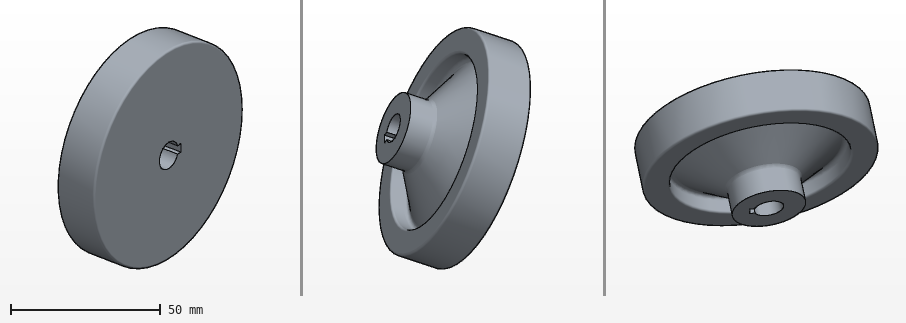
import cadquery as cq
import math

rim_diameter = 80.0
total_length = 31.0
rim_width = 15.8
rim_face_x = total_length - rim_width
rim_edge_radius = 0.8

hub_diameter = 25.0
bore_diameter = 10.0
keyway_width = 3.2
keyway_reach = 6.5

dish_diameter = 61.6
dish_mouth_radius = 0.8
dish_root_radius = 1.3
hub_root_radius = 1.4
cone_diameter_at_rim_face = 41.4
cone_half_angle = 54.5


def cone_x(radius):
    """Axial position of the conical web surface at a given radius."""
    radial_rise = radius - cone_diameter_at_rim_face / 2
    return rim_face_x + radial_rise / math.tan(math.radians(cone_half_angle))


def round_corner(body, x, radius, fillet_radius):
    """Fillet the largest circular edge lying at x within the given radius of the axis."""
    margin = 0.1
    half_size = radius + margin
    edges_in_plane = cq.selectors.BoxSelector(
        (x - margin, -half_size, -half_size),
        (x + margin, half_size, half_size),
        boundingbox=True,
    )
    corner = body.edges(edges_in_plane).edges(cq.selectors.RadiusNthSelector(-1))
    return corner.fillet(fillet_radius)


def make_wheel_body():
    """Revolve the half section, then round its circular corners."""
    hub_radius = hub_diameter / 2
    dish_radius = dish_diameter / 2
    rim_radius = rim_diameter / 2
    hub_root_x = cone_x(hub_radius)
    dish_root_x = cone_x(dish_radius)
    body = (
        cq.Workplane("XY")
        .moveTo(0, 0)
        .lineTo(0, hub_radius)
        .lineTo(hub_root_x, hub_radius)
        .lineTo(dish_root_x, dish_radius)
        .lineTo(rim_face_x, dish_radius)
        .lineTo(rim_face_x, rim_radius)
        .lineTo(total_length, rim_radius)
        .lineTo(total_length, 0)
        .close()
        .revolve(360, (0, 0, 0), (1, 0, 0))
    )
    body = round_corner(body, hub_root_x, hub_radius, hub_root_radius)
    body = round_corner(body, dish_root_x, dish_radius, dish_root_radius)
    body = round_corner(body, rim_face_x, dish_radius, dish_mouth_radius)
    body = round_corner(body, rim_face_x, rim_radius, rim_edge_radius)
    return round_corner(body, total_length, rim_radius, rim_edge_radius)


def make_keyed_bore():
    """Through bore joined with a keyway on its +Y side."""
    bore = cq.Workplane("YZ").circle(bore_diameter / 2).extrude(total_length)
    keyway = cq.Workplane("XY").box(
        total_length, keyway_reach, keyway_width, centered=(False, False, True)
    )
    return bore.union(keyway)


result = make_wheel_body().cut(make_keyed_bore())